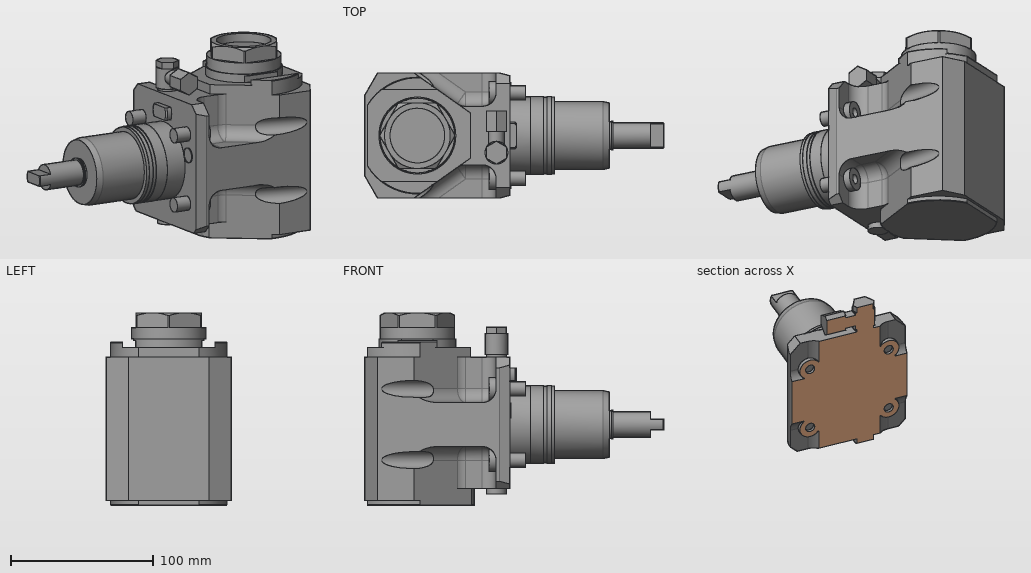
import cadquery as cq
import math


BACK_X = -37.0
FLANGE_X = 65.0
HALF_WIDTH = 44.0
TOP_Z = 47.4
HEAD_BOTTOM_Z = -53.4
NECK_BOTTOM_Z = -45.0
BACK_FLAT_HALF = 28.3
BACK_CHAMFER_ANGLE = 60.0
FLANGE_CORNER_SUM = 83.8
FLANGE_TAPER_X = 57.6
FLANGE_TAPER_ANGLE = 15.0
BACK_SHOULDER_X = BACK_X + (HALF_WIDTH - BACK_FLAT_HALF) / math.tan(math.radians(BACK_CHAMFER_ANGLE))

SLOPE_START_X = -2.5
SLOPE = math.tan(math.radians(35.3))
POCKET_WALL_Y = 20.5
POCKET_FLOOR_Z = 15.4
POCKET_END_X = 55.3
POCKET_RADIUS = 10.0

COVER_RADIUS = 41.0
COVER_BACK_X = -35.0
COVER_FRONT_X = 37.4
COVER_TOP_Z = 54.1
COVER_CHAMFER = 0.5
EAR_TOP_Z = 57.9
EAR_INNER_Y = 32.4
HEAD_FRONT_X = 40.0
LOWER_COVER_BOTTOM_Z = -56.65

SCREW_Y = 30.0
SCREW_Z = 25.0
SCREW_HEAD_RADIUS = 8.0
SCREW_HEAD_X = 50.4
SCREW_SOCKET_RADIUS = 3.3
SCREW_SOCKET_DEPTH = 4.0
SCREW_RADIUS = 5.1
SCREW_END_X = 75.9
ACCESS_RADIUS = 6.0
ACCESS_ANGLE = 15.0
ACCESS_LENGTH = 120.0

KEY_RADIUS = 9.5
KEY_HALF_HEIGHT = 4.5
KEY_Z = 35.2
KEY_END_X = 69.5
KEY_CHAMFER = 1.0
PAD_RADIUS = 5.3
PAD_Y = 32.0
PAD_Z = 10.0
PAD_HEIGHT = 0.7

SHANK_STEPS = [(FLANGE_X, 27.4), (79.5, 27.5), (88.4, 26.9), (91.0, 27.5), (94.2, 27.2), (96.4, 24.0)]
SHANK_TAPER_X = 130.2
SHANK_END_X = 134.8
SHANK_END_RADIUS = 22.9
COLLAR_STEPS = [(SHANK_END_X, 9.8), (136.2, 10.3)]
SHAFT_X = 137.3
SHAFT_RADIUS = 9.0
SHAFT_CHAMFER = 0.6
SHAFT_END_X = 173.0
TANG_X = 163.7
TANG_HALF_THICKNESS = 3.8

FITTING_X = 55.5
BOLT_Y = -12.0
FITTING_HEX_FLATS = 14.0
FITTING_COLLAR_RADIUS = 7.1
BOLT_RADIUS = 8.0
BOLT_BASE_Z = 49.0
BOLT_HEX_Z = 63.8
BOLT_TOP_Z = 68.3
PLUG_BOTTOM_Z = -48.9
NOZZLE_Z = 57.3
NOZZLE_RADIUS = 5.6
NOZZLE_HEX_Y = 2.8
NOZZLE_END_Y = 17.4

SPINDLE_RADIUS = 27.0
SPINDLE_FLAT_Y = 23.3
SPINDLE_LIP_FLAT_Y = 24.6
SPINDLE_LIP_Z = 58.9
NUT_Z = 60.1
NUT_RADIUS = 26.2
NUT_HEX_Z = 68.1
NUT_TOP_Z = 78.4
NUT_FLATS = 46.0
NUT_TOP_RADIUS = 23.1
NUT_CHAMFER_ANGLE = 30.0
NUT_BORE_RADIUS = 19.2
NUT_BORE_DEPTH = 6.0


def slope_y(x):
    """Distance of the sloped head side from the middle plane."""
    return HALF_WIDTH - (x - SLOPE_START_X) * SLOPE


def hexagon_diameter(flats):
    """Diameter across the corners of a hexagon of the given width across flats."""
    return flats / math.cos(math.radians(30))


def box(x0, x1, y0, y1, z0, z1):
    return cq.Workplane("XY").box(x1 - x0, y1 - y0, z1 - z0, centered=False).translate((x0, y0, z0))


def cylinder_x(radius, x0, x1, y=0.0, z=0.0):
    return cq.Workplane("YZ", origin=(x0, y, z)).circle(radius).extrude(x1 - x0)


def cylinder_z(radius, z0, z1, x=0.0, y=0.0):
    return cq.Workplane("XY", origin=(x, y, z0)).circle(radius).extrude(z1 - z0)


def mirrored_prism(half_outline, z0, z1):
    """Prism whose outline is the given half (y < 0) and its mirror image."""
    other_half = [(x, -y) for x, y in reversed(half_outline)]
    return cq.Workplane("XY", origin=(0, 0, z0)).polyline(half_outline + other_half).close().extrude(z1 - z0)


def head_base():
    """Lower end of the head, below the neck, with a rounded front."""
    outline = [
        (BACK_X, -BACK_FLAT_HALF),
        (BACK_SHOULDER_X, -HALF_WIDTH),
        (SLOPE_START_X, -HALF_WIDTH),
        (HEAD_FRONT_X, -slope_y(HEAD_FRONT_X)),
    ]
    base = mirrored_prism(outline, HEAD_BOTTOM_Z, NECK_BOTTOM_Z)
    rounding = cylinder_z(COVER_RADIUS, HEAD_BOTTOM_Z, NECK_BOTTOM_Z)
    back = box(BACK_X, HEAD_FRONT_X / 2, -HALF_WIDTH, HALF_WIDTH, HEAD_BOTTOM_Z, NECK_BOTTOM_Z)
    return base.intersect(rounding.union(back))


def block():
    """Head, neck and flange before the pockets are cut."""
    flange_half = HALF_WIDTH - (FLANGE_X - FLANGE_TAPER_X) * math.tan(math.radians(FLANGE_TAPER_ANGLE))
    outline = [
        (BACK_X, -BACK_FLAT_HALF),
        (BACK_SHOULDER_X, -HALF_WIDTH),
        (FLANGE_TAPER_X, -HALF_WIDTH),
        (FLANGE_X, -flange_half),
    ]
    return mirrored_prism(outline, NECK_BOTTOM_Z, TOP_Z)


def flange_corner():
    """Wedge that takes off the 45 degree flange corner at +Y, +Z."""
    wedge_outline = [
        (FLANGE_CORNER_SUM - TOP_Z, TOP_Z),
        (HALF_WIDTH, FLANGE_CORNER_SUM - HALF_WIDTH),
        (HALF_WIDTH, TOP_Z),
    ]
    wedge = cq.Workplane("YZ", origin=(POCKET_END_X, 0, 0)).polyline(wedge_outline).close()
    return wedge.extrude(FLANGE_X - POCKET_END_X)


def pocket():
    """Corner pocket at -Y, +Z: three walls and a floor blended with one radius."""
    outside_y = HALF_WIDTH + 3 * POCKET_RADIUS
    above_z = POCKET_RADIUS - LOWER_COVER_BOTTOM_Z
    margin = 1.0
    start_x = SLOPE_START_X - (outside_y - HALF_WIDTH) / SLOPE
    corner_x = SLOPE_START_X + (HALF_WIDTH - POCKET_WALL_Y) / SLOPE
    cutter = (
        cq.Workplane("XY", origin=(0, 0, POCKET_FLOOR_Z))
        .polyline([
            (start_x, -outside_y),
            (corner_x, -POCKET_WALL_Y),
            (POCKET_END_X, -POCKET_WALL_Y),
            (POCKET_END_X, -outside_y),
        ])
        .close()
        .extrude(above_z - POCKET_FLOOR_Z)
    )
    inner_edges = cq.selectors.BoxSelector(
        (start_x, margin - outside_y, POCKET_FLOOR_Z - margin),
        (POCKET_END_X + margin, 0, above_z - margin),
    )
    return cutter.edges(inner_edges).fillet(POCKET_RADIUS)


def screw_access():
    """Slanted tool hole that lets a driver reach the screw at -Y, +Z."""
    angle = math.radians(ACCESS_ANGLE)
    direction = cq.Vector(-math.cos(angle), -math.sin(angle), 0)
    start = cq.Vector(SCREW_HEAD_X, -SCREW_Y, SCREW_Z)
    return cq.Workplane(obj=cq.Solid.makeCylinder(ACCESS_RADIUS, ACCESS_LENGTH, start, direction))


def screw():
    """Flange screw at -Y, +Z."""
    head = cylinder_x(SCREW_HEAD_RADIUS, SCREW_HEAD_X, POCKET_END_X, -SCREW_Y, SCREW_Z)
    socket_end_x = SCREW_HEAD_X + SCREW_SOCKET_DEPTH
    socket = cylinder_x(SCREW_SOCKET_RADIUS, SCREW_HEAD_X, socket_end_x, -SCREW_Y, SCREW_Z)
    stem = cylinder_x(SCREW_RADIUS, FLANGE_X, SCREW_END_X, -SCREW_Y, SCREW_Z)
    return head.cut(socket).union(stem)


def four_corners(shape):
    """The shape and its mirror images about the XZ and XY planes."""
    pair = [shape, shape.mirror("XZ")]
    return pair + [item.mirror("XY") for item in pair]


def cover(z0, z1, front_x, chamfered_face):
    """Round cover with a flat back and front and sloped sides."""
    outline = [
        (COVER_BACK_X, -HALF_WIDTH),
        (SLOPE_START_X, -HALF_WIDTH),
        (front_x, -slope_y(front_x)),
    ]
    disc = cylinder_z(COVER_RADIUS, z0, z1).faces(chamfered_face).chamfer(COVER_CHAMFER)
    return disc.intersect(mirrored_prism(outline, z0, z1))


def upper_cover():
    """Top cover: low in the middle, a raised ear along each side and a hole for the spindle."""
    relief = box(
        COVER_BACK_X, COVER_FRONT_X, -EAR_INNER_Y, EAR_INNER_Y, COVER_TOP_Z, EAR_TOP_Z
    )
    recess = cylinder_z(SPINDLE_RADIUS, TOP_Z, COVER_TOP_Z)
    return cover(TOP_Z, EAR_TOP_Z, COVER_FRONT_X, ">Z").cut(relief).cut(recess)


def step_points(steps, end_x):
    """Profile points of a row of plain steps, each lasting until the next one starts."""
    points = []
    stop_positions = [x for x, _ in steps[1:]] + [end_x]
    for (start_x, radius), stop_x in zip(steps, stop_positions):
        points += [(start_x, radius), (stop_x, radius)]
    return points


def shank_and_shaft():
    """Stepped shank, collar and drive shaft turned about X, with a flat tang at the end."""
    profile = [
        (FLANGE_X, 0),
        *step_points(SHANK_STEPS, SHANK_TAPER_X),
        (SHANK_END_X, SHANK_END_RADIUS),
        *step_points(COLLAR_STEPS, SHAFT_X),
        (SHAFT_X, SHAFT_RADIUS),
        (SHAFT_END_X - SHAFT_CHAMFER, SHAFT_RADIUS),
        (SHAFT_END_X, SHAFT_RADIUS - SHAFT_CHAMFER),
        (SHAFT_END_X, 0),
    ]
    turned = cq.Workplane("XY").polyline(profile).close().revolve(360, (0, 0, 0), (1, 0, 0))
    side = box(
        TANG_X, SHAFT_END_X, -SHAFT_RADIUS, SHAFT_RADIUS, TANG_HALF_THICKNESS, SHAFT_RADIUS
    )
    return turned.cut(side).cut(side.mirror("XY"))


def flange_key():
    """Low round key with a flat top and bottom and a chamfered rim."""
    disc = cylinder_x(KEY_RADIUS, FLANGE_X, KEY_END_X, 0, KEY_Z).faces(">X").chamfer(KEY_CHAMFER)
    band = box(
        FLANGE_X, KEY_END_X, -KEY_RADIUS, KEY_RADIUS, KEY_Z - KEY_HALF_HEIGHT, KEY_Z + KEY_HALF_HEIGHT
    )
    return disc.intersect(band)


def coolant_fittings():
    """Upright bolt with a sideways hex nozzle, and a plug under the flange."""
    collar = cylinder_z(FITTING_COLLAR_RADIUS, TOP_Z, BOLT_BASE_Z, FITTING_X, BOLT_Y)
    bolt = cylinder_z(BOLT_RADIUS, BOLT_BASE_Z, BOLT_HEX_Z, FITTING_X, BOLT_Y)
    bolt_hex = (
        cq.Workplane("XY", origin=(FITTING_X, BOLT_Y, BOLT_HEX_Z))
        .transformed(rotate=(0, 0, 90))
        .polygon(6, hexagon_diameter(FITTING_HEX_FLATS))
        .extrude(BOLT_TOP_Z - BOLT_HEX_Z)
    )
    pipe = (
        cq.Workplane("XZ", origin=(FITTING_X, BOLT_Y, NOZZLE_Z))
        .circle(NOZZLE_RADIUS)
        .extrude(BOLT_Y - NOZZLE_HEX_Y)
    )
    nozzle_hex = (
        cq.Workplane("XZ", origin=(FITTING_X, NOZZLE_HEX_Y, NOZZLE_Z))
        .transformed(rotate=(0, 0, 90))
        .polygon(6, hexagon_diameter(FITTING_HEX_FLATS))
        .extrude(NOZZLE_HEX_Y - NOZZLE_END_Y)
    )
    plug = cylinder_z(FITTING_COLLAR_RADIUS, PLUG_BOTTOM_Z, NECK_BOTTOM_Z, FITTING_X, BOLT_Y)
    return [collar, bolt, bolt_hex, pipe, nozzle_hex, plug]


def make_housing():
    body = block().union(head_base())
    for cutter in (flange_corner(), pocket(), screw_access()):
        for corner_cutter in four_corners(cutter):
            body = body.cut(corner_cutter)

    pad = cylinder_x(PAD_RADIUS, FLANGE_X, FLANGE_X + PAD_HEIGHT, PAD_Y, PAD_Z)
    additions = [
        upper_cover(),
        cover(LOWER_COVER_BOTTOM_Z, HEAD_BOTTOM_Z, HEAD_FRONT_X, "<Z"),
        shank_and_shaft(),
        flange_key(),
        pad,
        pad.mirror("XZ"),
    ]
    for addition in additions + four_corners(screw()) + coolant_fittings():
        body = body.union(addition)
    return body


def make_spindle():
    """Spindle end with two wrench flats, carrying the hexagonal clamping nut."""
    flange = cylinder_z(SPINDLE_RADIUS, TOP_Z, NUT_Z)
    for flat_y, z0, z1 in (
        (SPINDLE_FLAT_Y, COVER_TOP_Z, SPINDLE_LIP_Z),
        (SPINDLE_LIP_FLAT_Y, SPINDLE_LIP_Z, NUT_Z),
    ):
        side = box(-SPINDLE_RADIUS, SPINDLE_RADIUS, flat_y, SPINDLE_RADIUS, z0, z1)
        flange = flange.cut(side).cut(side.mirror("XZ"))

    ring = cylinder_z(NUT_RADIUS, NUT_Z, NUT_HEX_Z)
    hexagon = (
        cq.Workplane("XY", origin=(0, 0, NUT_HEX_Z))
        .polygon(6, hexagon_diameter(NUT_FLATS))
        .extrude(NUT_TOP_Z - NUT_HEX_Z)
    )
    chamfer_drop = (NUT_RADIUS - NUT_TOP_RADIUS) * math.tan(math.radians(NUT_CHAMFER_ANGLE))
    envelope = (
        cq.Workplane("XZ")
        .polyline([
            (0, NUT_HEX_Z),
            (NUT_RADIUS, NUT_HEX_Z),
            (NUT_RADIUS, NUT_TOP_Z - chamfer_drop),
            (NUT_TOP_RADIUS, NUT_TOP_Z),
            (0, NUT_TOP_Z),
        ])
        .close()
        .revolve(360, (0, 0, 0), (0, 1, 0))
    )
    bore = cylinder_z(NUT_BORE_RADIUS, NUT_TOP_Z - NUT_BORE_DEPTH, NUT_TOP_Z)
    return flange.union(ring).union(hexagon.intersect(envelope)).cut(bore)


housing = make_housing()
spindle = make_spindle()
result = cq.Compound.makeCompound([housing.val(), spindle.val()])